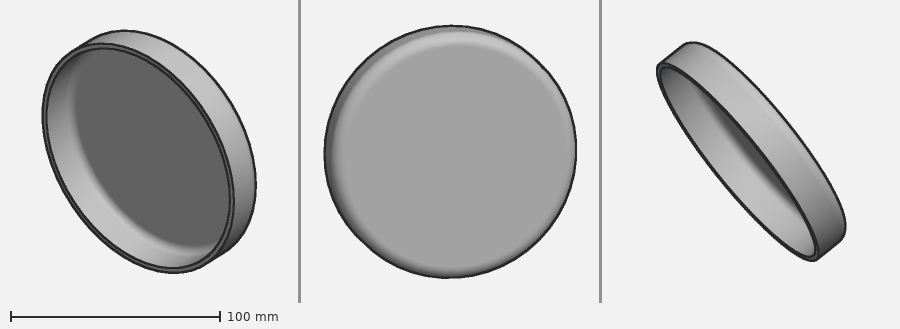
import cadquery as cq

outer_diameter = 120.0
height = 20.0
wall = 2.5
outer_fillet = 6.0
inner_fillet = 4.0


def rounded_disc(radius, length, edge_fillet):
    """Disc from Y = 0 to Y = length with its +Y edge rounded."""
    disc = cq.Workplane("XZ").circle(radius).extrude(-length)
    return disc.faces(">Y").edges().fillet(edge_fillet)


outer_radius = outer_diameter / 2
body = rounded_disc(outer_radius, height, outer_fillet)
cavity = rounded_disc(outer_radius - wall, height - wall, inner_fillet)

result = body.cut(cavity)